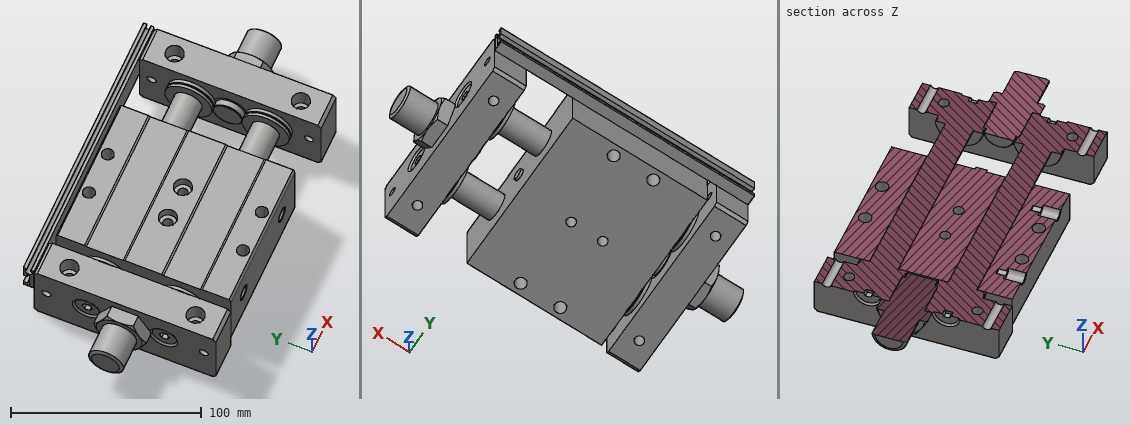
import cadquery as cq
import math


ABSORBER_END_X = 106.0
PLATE_OUTER_X = 80.0
PLATE_THICKNESS = 20.0
PLATE_INNER_X = PLATE_OUTER_X - PLATE_THICKNESS

PLATE_WIDTH = 103.9
PLATE_TOP_Z = 18.0
PLATE_BOTTOM_Z = -22.0
PLATE_CHAMFER = 2.0
PLATE_BOLT_SPACING = 72.0
PLATE_BOLT_DIAMETER = 5.5
PLATE_BOLT_BORE_DIAMETER = 10.0
PLATE_BOLT_BORE_DEPTH = 11.0
PLATE_STOP_SPACING = 89.9
PLATE_STOP_DIAMETER = 5.0

CONE_ANGLE = 45

ROD_DIAMETER = 16.0
ROD_SPACING = 44.0
ROD_Y = ROD_SPACING / 2
ROD_RECESS_CONE = 1.0
ROD_SOCKET_CORNERS = 6.0
ROD_SOCKET_DEPTH = 3.0
BUMPER_DIAMETER = 27.0
BUMPER_LENGTH = 4.5
BUMPER_GROOVE_WIDTH = 0.6
BUMPER_GROOVE_DEPTH = 0.6

RAIL_WIDTH = 6.1
RAIL_TOP_Z = 19.0
RAIL_HEIGHT = 18.0
RAIL_END_CHAMFER = 0.5
RAIL_ROUND_SLOT_DIAMETER = 4.0
RAIL_ROUND_SLOT_OPENING = 2.3
RAIL_ROUND_SLOT_DROP = 3.0
RAIL_T_SLOT_CENTRE_DROP = 11.7
RAIL_T_SLOT_OPENING = 7.0
RAIL_T_SLOT_HEIGHT = 10.4
RAIL_T_SLOT_LIP = 2.3
RAIL_T_SLOT_DEPTH = 3.5

HOUSING_LENGTH = 85.0
HOUSING_LEFT_X = BUMPER_LENGTH - PLATE_INNER_X
HOUSING_RIGHT_X = HOUSING_LEFT_X + HOUSING_LENGTH
HOUSING_WIDTH = 100.0
HOUSING_HEIGHT = 39.9
TOP_ROUNDING_Y = 1.0
TOP_ROUNDING_Z = 2.5
TOP_ROUNDING_RADIUS = (TOP_ROUNDING_Y**2 + TOP_ROUNDING_Z**2) / (2 * TOP_ROUNDING_Y)
TOP_RECESS_WIDTH = 22.0
TOP_RECESS_DEPTH = 0.6
TOP_RECESS_SLOPE = 1.0
HOLES_X = -13.0
EDGE_HOLE_SPACING_X = 25.0
EDGE_HOLE_SPACING_Y = 88.0
EDGE_HOLE_DIAMETER = 6.8
CENTRE_HOLE_SPACING = 20.0
CENTRE_HOLE_DIAMETER = 5.5
CENTRE_BORE_DIAMETER = 10.0
CENTRE_BORE_DEPTH = 6.1
PORT_SPACING = 50.9
PORT_DIAMETER = 8.0
PORT_CHAMFER = 0.5
PORT_DEPTH = 10.0
PORT_PASSAGE_DIAMETER = 4.0
PORT_PASSAGE_DEPTH = 14.8
STOP_PIN_DIAMETER = 6.8
STOP_PIN_LENGTH = 1.5

ABSORBER_DIAMETER = 20.0
ABSORBER_FACE_DIAMETER = 16.0
ABSORBER_CHAMFER_LENGTH = 0.8
ABSORBER_TIP_DIAMETER = 17.0
ABSORBER_TIP_LENGTH = 3.8
ABSORBER_TIP_CHAMFER = 0.5
NUT_FLATS = 26.0
NUT_THICKNESS = 7.6
NUT_CORNER_SLOPE = math.radians(30)
NUT_CORNER_DIAMETER = NUT_FLATS / math.cos(math.pi / 6)


def box(x_min, x_max, y_min, y_max, z_min, z_max):
    """Box between the given limits."""
    block = cq.Workplane("XY").box(x_max - x_min, y_max - y_min, z_max - z_min, centered=False)
    return block.translate((x_min, y_min, z_min))


def rod_along_x(diameter, x_start, x_end, y=0):
    """Round bar parallel to X."""
    return cq.Workplane("YZ", origin=(x_start, y, 0)).circle(diameter / 2).extrude(x_end - x_start)


def end_plate():
    """Right-hand end plate with its screw holes."""
    height = PLATE_TOP_Z - PLATE_BOTTOM_Z
    half_width = PLATE_WIDTH / 2
    plate = box(PLATE_INNER_X, PLATE_OUTER_X, -half_width, half_width, PLATE_BOTTOM_Z, PLATE_TOP_Z)
    plate = plate.edges("|X").chamfer(PLATE_CHAMFER)
    plate = (
        plate.faces(">Z")
        .workplane(origin=((PLATE_INNER_X + PLATE_OUTER_X) / 2, 0, PLATE_TOP_Z))
        .rarray(2.1, PLATE_BOLT_SPACING, 1, 2)
        .cboreHole(PLATE_BOLT_DIAMETER, PLATE_BOLT_BORE_DIAMETER, PLATE_BOLT_BORE_DEPTH, height)
    )
    for side in (-1, 1):
        y = side * PLATE_STOP_SPACING / 2
        plate = plate.cut(rod_along_x(PLATE_STOP_DIAMETER, PLATE_INNER_X, PLATE_OUTER_X, y))
    return plate.cut(rod_along_x(ABSORBER_DIAMETER, PLATE_INNER_X, PLATE_OUTER_X))


def bumper(y):
    """Grooved bumper on the inner face of the right-hand end plate."""
    ring = rod_along_x(BUMPER_DIAMETER, PLATE_INNER_X - BUMPER_LENGTH, PLATE_INNER_X, y)
    groove_start = PLATE_INNER_X - (BUMPER_LENGTH + BUMPER_GROOVE_WIDTH) / 2
    groove_end = groove_start + BUMPER_GROOVE_WIDTH
    core = rod_along_x(BUMPER_DIAMETER - 2 * BUMPER_GROOVE_DEPTH, groove_start, groove_end, y)
    return ring.cut(rod_along_x(BUMPER_DIAMETER, groove_start, groove_end, y).cut(core))


def rod_end_recess(y):
    """Conical recess and hexagon socket at the outer end of a guide rod."""
    face = cq.Workplane("YZ", origin=(PLATE_OUTER_X, y, 0))
    cone = face.circle(ROD_DIAMETER / 2).extrude(-ROD_RECESS_CONE, taper=CONE_ANGLE)
    socket = face.polygon(6, ROD_SOCKET_CORNERS).extrude(-ROD_RECESS_CONE - ROD_SOCKET_DEPTH)
    return cone.union(socket)


def sensor_rail():
    """Extruded rail with a round slot open to the top and a T-slot open to +Y."""
    inner_y = PLATE_WIDTH / 2
    outer_y = inner_y + RAIL_WIDTH
    x = PLATE_OUTER_X
    rail = box(-x, x, inner_y, outer_y, RAIL_TOP_Z - RAIL_HEIGHT, RAIL_TOP_Z)
    rail = rail.edges("|Z and <Y").chamfer(RAIL_END_CHAMFER)

    round_y = (inner_y + outer_y) / 2
    round_z = RAIL_TOP_Z - RAIL_ROUND_SLOT_DROP
    round_slot = rod_along_x(RAIL_ROUND_SLOT_DIAMETER, -x, x, round_y).translate((0, 0, round_z))
    half_opening = RAIL_ROUND_SLOT_OPENING / 2
    mouth = box(-x, x, round_y - half_opening, round_y + half_opening, round_z, RAIL_TOP_Z)

    t_z = RAIL_TOP_Z - RAIL_T_SLOT_CENTRE_DROP
    floor_y = outer_y - RAIL_T_SLOT_DEPTH
    lip_y = outer_y - RAIL_T_SLOT_LIP
    half_neck = RAIL_T_SLOT_OPENING / 2
    half_cavity = RAIL_T_SLOT_HEIGHT / 2
    neck = box(-x, x, floor_y, outer_y, t_z - half_neck, t_z + half_neck)
    cavity = box(-x, x, floor_y, lip_y, t_z - half_cavity, t_z + half_cavity)
    return rail.cut(round_slot).cut(mouth).cut(neck).cut(cavity)


def make_frame():
    """Moving frame: two end plates joined by two guide rods and the sensor rail."""
    right_end = end_plate()
    for y in (-ROD_Y, ROD_Y):
        right_end = right_end.union(bumper(y))
    frame = right_end.union(right_end.mirror("YZ"))
    for y in (-ROD_Y, ROD_Y):
        frame = frame.union(rod_along_x(ROD_DIAMETER, -PLATE_OUTER_X, PLATE_OUTER_X, y))
        recess = rod_end_recess(y)
        frame = frame.cut(recess).cut(recess.mirror("YZ"))
    return frame.union(sensor_rail())


def top_recess(y):
    """Shallow lengthwise recess with sloping walls in the top of the housing."""
    top = HOUSING_HEIGHT / 2
    half_floor = TOP_RECESS_WIDTH / 2 - TOP_RECESS_SLOPE / 2
    half_mouth = half_floor + TOP_RECESS_SLOPE
    return (
        cq.Workplane("YZ", origin=(HOUSING_LEFT_X, y, top))
        .polyline(
            [
                (-half_mouth, 0),
                (half_mouth, 0),
                (half_floor, -TOP_RECESS_DEPTH),
                (-half_floor, -TOP_RECESS_DEPTH),
            ]
        )
        .close()
        .extrude(HOUSING_LENGTH)
    )


def port(x):
    """Stepped port with a chamfered mouth in the -Y side of the housing."""
    face = cq.Workplane("XZ", origin=(x, -HOUSING_WIDTH / 2, 0))
    mouth = face.circle(PORT_DIAMETER / 2).extrude(-PORT_DEPTH)
    rim = face.circle(PORT_DIAMETER / 2 + PORT_CHAMFER).extrude(-PORT_CHAMFER, taper=CONE_ANGLE)
    return mouth.union(rim).union(face.circle(PORT_PASSAGE_DIAMETER / 2).extrude(-PORT_PASSAGE_DEPTH))


def housing_block():
    """Plain housing whose side walls round smoothly inwards to the top face."""
    half_width = HOUSING_WIDTH / 2
    top = HOUSING_HEIGHT / 2
    top_half_width = half_width - TOP_ROUNDING_Y
    shoulder_z = top - TOP_ROUNDING_Z
    return (
        cq.Workplane("YZ", origin=(HOUSING_LEFT_X, 0, 0))
        .moveTo(-half_width, -top)
        .lineTo(half_width, -top)
        .lineTo(half_width, shoulder_z)
        .radiusArc((top_half_width, top), -TOP_ROUNDING_RADIUS)
        .lineTo(-top_half_width, top)
        .radiusArc((-half_width, shoulder_z), -TOP_ROUNDING_RADIUS)
        .close()
        .extrude(HOUSING_LENGTH)
    )


def make_housing():
    """Housing that slides on the guide rods."""
    top = HOUSING_HEIGHT / 2
    housing = housing_block()
    for y in (-ROD_Y, ROD_Y):
        housing = housing.cut(top_recess(y))
        housing = housing.cut(rod_along_x(ROD_DIAMETER, HOUSING_LEFT_X, HOUSING_RIGHT_X, y))
    top_face = cq.Workplane("XY", origin=(HOLES_X, 0, top))
    housing = housing.cut(
        top_face.rarray(EDGE_HOLE_SPACING_X, EDGE_HOLE_SPACING_Y, 2, 2)
        .circle(EDGE_HOLE_DIAMETER / 2)
        .extrude(-HOUSING_HEIGHT)
    )
    centre_holes = top_face.rarray(CENTRE_HOLE_SPACING, 2.1, 2, 1)
    housing = housing.cut(centre_holes.circle(CENTRE_HOLE_DIAMETER / 2).extrude(-HOUSING_HEIGHT))
    housing = housing.cut(centre_holes.circle(CENTRE_BORE_DIAMETER / 2).extrude(-CENTRE_BORE_DEPTH))
    for side in (-1, 1):
        housing = housing.cut(port(HOLES_X + side * PORT_SPACING / 2))
    stop_pin = rod_along_x(STOP_PIN_DIAMETER, HOUSING_RIGHT_X, HOUSING_RIGHT_X + STOP_PIN_LENGTH)
    return housing.union(stop_pin)


def make_absorber(side):
    """Shock absorber with its lock nut, in the end plate on the given side (1 or -1 along X)."""
    threaded = rod_along_x(ABSORBER_DIAMETER, PLATE_INNER_X, ABSORBER_END_X)
    threaded = threaded.faces(">X").chamfer(
        ABSORBER_CHAMFER_LENGTH, (ABSORBER_DIAMETER - ABSORBER_FACE_DIAMETER) / 2
    )
    tip = rod_along_x(ABSORBER_TIP_DIAMETER, PLATE_INNER_X - ABSORBER_TIP_LENGTH, PLATE_INNER_X)
    tip = tip.faces("<X").chamfer(ABSORBER_TIP_CHAMFER)

    face = cq.Workplane("YZ", origin=(PLATE_OUTER_X, 0, 0))
    nut = face.polygon(6, NUT_CORNER_DIAMETER).extrude(NUT_THICKNESS)
    corner_drop = (NUT_CORNER_DIAMETER - NUT_FLATS) / 2
    rounding = face.circle(NUT_CORNER_DIAMETER / 2).extrude(NUT_THICKNESS)
    rounding = rounding.faces(">X").chamfer(corner_drop * math.tan(NUT_CORNER_SLOPE), corner_drop)
    absorber = threaded.union(tip).union(nut.intersect(rounding))
    return absorber if side > 0 else absorber.mirror("YZ")


housing = make_housing()
frame = make_frame()
absorbers = [make_absorber(side) for side in (-1, 1)]

result = cq.Compound.makeCompound(
    [
        housing.solids().val(),
        frame.solids().val(),
        *[absorber.solids().val() for absorber in absorbers],
    ]
)